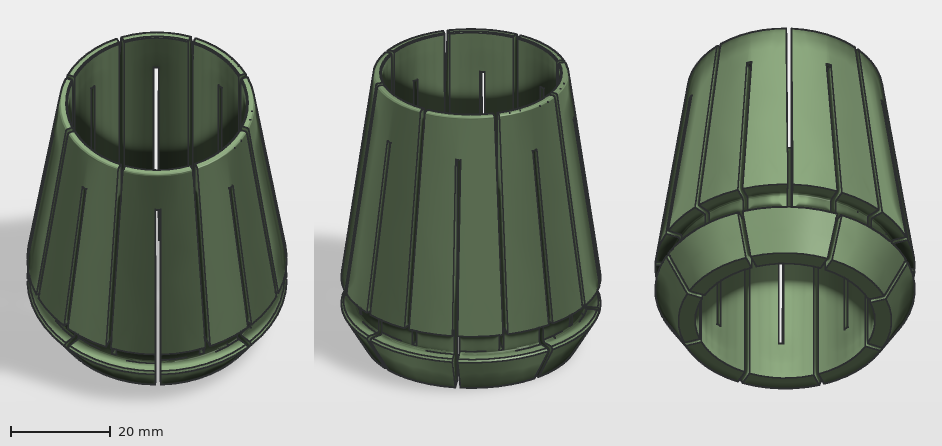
import cadquery as cq
import math

height = 60.0
max_radius = 52.0 / 2
bore_radius = 36.0 / 2

cone_bottom_z = 14.0
cone_half_angle = 8.0
top_rim_fillet = 0.5
bore_chamfer = 0.25

groove_radius = 23.0
groove_fillet = 0.5

flange_top_z = 8.6
flange_half_angle = 30.0
flange_chamfer = 0.5

slots_per_set = 8
slot_width = 1.0
upward_slot_end_z = 51.0
downward_slot_floor_z = 9.0

slot_cutter_length = max_radius + 0.6
radius_tolerance = 0.005

slot_pitch = 360.0 / slots_per_set
cone_height = height - cone_bottom_z
cone_top_radius = max_radius - cone_height * math.tan(math.radians(cone_half_angle))
flange_rim_z = flange_top_z - flange_chamfer
flange_bottom_radius = max_radius - flange_rim_z * math.tan(math.radians(flange_half_angle))


def circular_edges(body, radius):
    """Pick the circular edges of the body that have the given radius."""
    return body.edges("%CIRCLE").filter(lambda edge: abs(edge.radius() - radius) < radius_tolerance)


def make_body():
    """Revolve the wall section (flange, groove and cone), then soften its edges."""
    section = [
        (bore_radius, 0),
        (flange_bottom_radius, 0),
        (max_radius, flange_rim_z),
        (max_radius - flange_chamfer, flange_top_z),
        (groove_radius, flange_top_z),
        (groove_radius, cone_bottom_z),
        (max_radius, cone_bottom_z),
        (cone_top_radius, height),
        (bore_radius + bore_chamfer, height),
        (bore_radius, height - bore_chamfer),
    ]
    body = cq.Workplane("XZ").polyline(section).close().revolve(360, (0, 0, 0), (0, 1, 0))
    body = circular_edges(body, groove_radius).fillet(groove_fillet)
    return circular_edges(body, cone_top_radius).fillet(top_rim_fillet)


def cut_slots(body, bottom_z, top_z, first_angle):
    """Cut one evenly spaced set of radial slots between two heights."""
    cutter = (
        cq.Workplane("XY")
        .workplane(offset=bottom_z)
        .rect(slot_cutter_length, slot_width, centered=(False, True))
        .extrude(top_z - bottom_z)
    )
    for index in range(slots_per_set):
        angle = first_angle + index * slot_pitch
        body = body.cut(cutter.rotate((0, 0, 0), (0, 0, 1), angle))
    return body


result = make_body()
result = cut_slots(result, 0, upward_slot_end_z, 0)
result = cut_slots(result, downward_slot_floor_z, height, slot_pitch / 2)